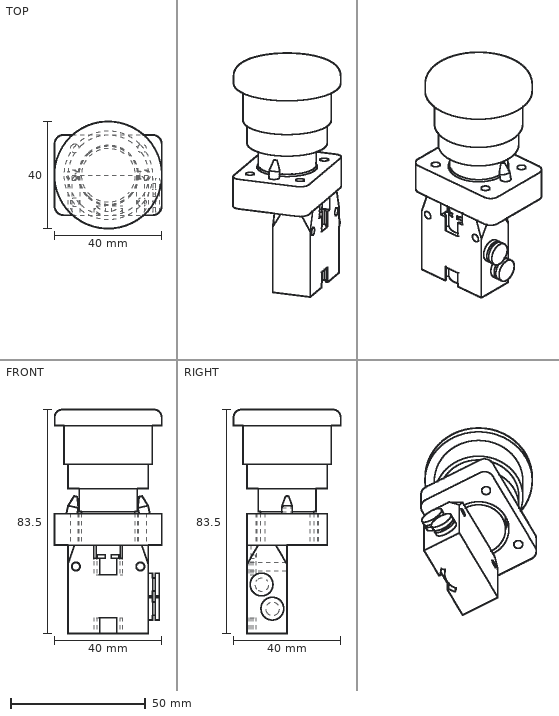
import cadquery as cq
import math

valve_height = 33.0
plate_thickness = 11.7
plate_top = valve_height + plate_thickness
total_height = 83.5

valve_length = 30.0
valve_depth = 15.0
valve_front = -valve_depth
valve_axis_y = -valve_depth / 2
corner_cut_x = 2.5
corner_cut_y = 4.25
corner_cut_z = 7.25
valve_hole_diameter = 3.0
valve_hole_spacing = 24.0
valve_hole_z = 25.0

post_diameter = 12.0
ring_diameter = 15.1
ring_half_angle = math.radians(45)
slot_width = 6.4
lower_slot_height = 6.0
upper_slot_height = 11.0
window_width = ring_diameter * math.sin(ring_half_angle)
window_height = 5.0
window_depth = 3.5
notch_inner_x = 1.1
notch_outer_x = 4.05
notch_height = 1.3

fitting_diameter = 8.5
fitting_neck_diameter = 5.0
fitting_flange = 1.6
fitting_neck = 0.9
fitting_spacing_z = 9.0
fitting_spacing_y = 4.0
fitting_middle_z = 13.8

plate_length = 40.0
plate_width = 30.0
plate_corner_radius = 3.5
plate_bore_diameter = 22.5
plate_hole_diameter = 3.25
plate_hole_spacing_x = 25.0
plate_hole_spacing_y = 20.0
pin_diameter = 4.0
pin_tip_diameter = 1.2
pin_base_x = 13.55
pin_tilt = 13.0
pin_root = 3.0
pin_straight = 2.6
pin_cone = 4.0

shank_diameter = 20.0
neck_diameter = 21.7
collar_diameter = 30.0
sleeve_diameter = 33.0
head_diameter = 40.0
neck_bottom = 45.4
collar_bottom = 54.0
sleeve_bottom = 63.0
head_bottom = 77.5
head_edge_radius = 3.0


def disc(diameter, bottom, top):
    """Upright cylinder on the Z axis between two heights."""
    return cq.Workplane("XY", origin=(0, 0, bottom)).circle(diameter / 2).extrude(top - bottom)


def front_box(x_min, x_max, depth, bottom, top):
    """Box that reaches into the valve block from its front face."""
    size = (x_max - x_min, depth, top - bottom)
    return cq.Workplane("XY").box(*size, centered=False).translate((x_min, valve_front, bottom))


def corner_wedge(side_x, corner_y, inward_y):
    """Tetrahedron that bevels one upper corner of the valve block."""
    corner = cq.Vector(side_x * valve_length / 2, corner_y, valve_height)
    along_x = corner + cq.Vector(-side_x * corner_cut_x, 0, 0)
    along_y = corner + cq.Vector(0, inward_y * corner_cut_y, 0)
    below = corner + cq.Vector(0, 0, -corner_cut_z)
    triangles = [
        (corner, along_x, along_y),
        (corner, along_x, below),
        (corner, along_y, below),
        (along_x, along_y, below),
    ]
    faces = [cq.Face.makeFromWires(cq.Wire.makePolygon(points, close=True)) for points in triangles]
    return cq.Workplane(cq.Solid.makeSolid(cq.Shell.makeShell(faces)))


def ring_sector(bottom, top):
    """Quarter of a ring, facing -Y: the clearance around the post."""
    reach = ring_diameter
    half_width = reach * math.tan(ring_half_angle)
    ring = (
        cq.Workplane("XY")
        .circle(ring_diameter / 2)
        .circle(post_diameter / 2)
        .extrude(top - bottom)
    )
    sector = (
        cq.Workplane("XY")
        .polyline([(0, 0), (half_width, -reach), (-half_width, -reach)])
        .close()
        .extrude(top - bottom)
    )
    return ring.intersect(sector).translate((0, valve_axis_y, bottom))


def front_recess(bottom, height):
    """Slot in the front wall, opening onto the clearance around the post."""
    top = bottom + height
    slot = front_box(-slot_width / 2, slot_width / 2, valve_depth / 2, bottom, top)
    return slot.union(ring_sector(bottom, top))


def fitting(y, z):
    """Push-in fitting: two flanges with a thinner neck between them."""
    neck_start = fitting_flange
    neck_end = neck_start + fitting_neck
    fitting_end = neck_end + fitting_flange
    outline = [
        (0, 0),
        (0, fitting_diameter / 2),
        (neck_start, fitting_diameter / 2),
        (neck_start, fitting_neck_diameter / 2),
        (neck_end, fitting_neck_diameter / 2),
        (neck_end, fitting_diameter / 2),
        (fitting_end, fitting_diameter / 2),
        (fitting_end, 0),
    ]
    body = cq.Workplane("XY").polyline(outline).close().revolve(360, (0, 0, 0), (1, 0, 0))
    return body.translate((valve_length / 2, y, z))


def make_valve():
    half_length = valve_length / 2
    body = front_box(-half_length, half_length, valve_depth, 0, valve_height)
    post = disc(post_diameter, 0, valve_height).translate((0, valve_axis_y, 0))

    for side in (-1, 1):
        body = body.cut(corner_wedge(side, valve_front, 1))
        body = body.cut(corner_wedge(side, 0, -1))
        hole = (
            cq.Workplane("XZ", origin=(side * valve_hole_spacing / 2, 0, valve_hole_z))
            .circle(valve_hole_diameter / 2)
            .extrude(valve_depth)
        )
        body = body.cut(hole)

    window_bottom = valve_height - window_height
    half_window = window_width / 2
    window = front_box(-half_window, half_window, window_depth, window_bottom, valve_height)
    body = body.cut(front_recess(0, lower_slot_height).cut(post))
    body = body.cut(front_recess(valve_height - upper_slot_height, upper_slot_height).cut(post))
    body = body.cut(window.cut(post))

    notch_top = window_bottom + notch_height
    notch = front_box(notch_inner_x, notch_outer_x, window_depth, window_bottom, notch_top)
    body = body.cut(notch).cut(notch.mirror("YZ"))

    for step in (-0.5, 0.5):
        y = valve_axis_y - step * fitting_spacing_y
        z = fitting_middle_z + step * fitting_spacing_z
        body = body.union(fitting(y, z))
    return body


def pin():
    """Pointed pin at the +X side, leaning towards the button and rooted in the plate."""
    outline = [
        (0, -pin_root),
        (pin_diameter / 2, -pin_root),
        (pin_diameter / 2, pin_straight),
        (pin_tip_diameter / 2, pin_straight + pin_cone),
        (0, pin_straight + pin_cone),
    ]
    upright = cq.Workplane("XZ").polyline(outline).close().revolve(360, (0, 0, 0), (0, 1, 0))
    return upright.rotate((0, 0, 0), (0, 1, 0), -pin_tilt).translate((pin_base_x, 0, plate_top))


def make_plate():
    plate = (
        cq.Workplane("XY", origin=(0, 0, valve_height))
        .rect(plate_length, plate_width)
        .extrude(plate_thickness)
        .edges("|Z")
        .fillet(plate_corner_radius)
    )
    plate = plate.cut(disc(plate_bore_diameter, valve_height, plate_top))
    plate = (
        plate.faces(">Z")
        .workplane(origin=(0, 0, plate_top))
        .rect(plate_hole_spacing_x, plate_hole_spacing_y, forConstruction=True)
        .vertices()
        .hole(plate_hole_diameter)
    )
    return plate.union(pin()).union(pin().mirror("YZ"))


def make_button():
    head = disc(head_diameter, head_bottom, total_height).faces(">Z").edges().fillet(head_edge_radius)
    return (
        disc(shank_diameter, valve_height, neck_bottom)
        .union(disc(neck_diameter, neck_bottom, collar_bottom))
        .union(disc(collar_diameter, collar_bottom, sleeve_bottom))
        .union(disc(sleeve_diameter, sleeve_bottom, head_bottom))
        .union(head)
    )


valve = make_valve()
plate = make_plate()
button = make_button()

result = cq.Compound.makeCompound([valve.solids().val(), plate.solids().val(), button.solids().val()])